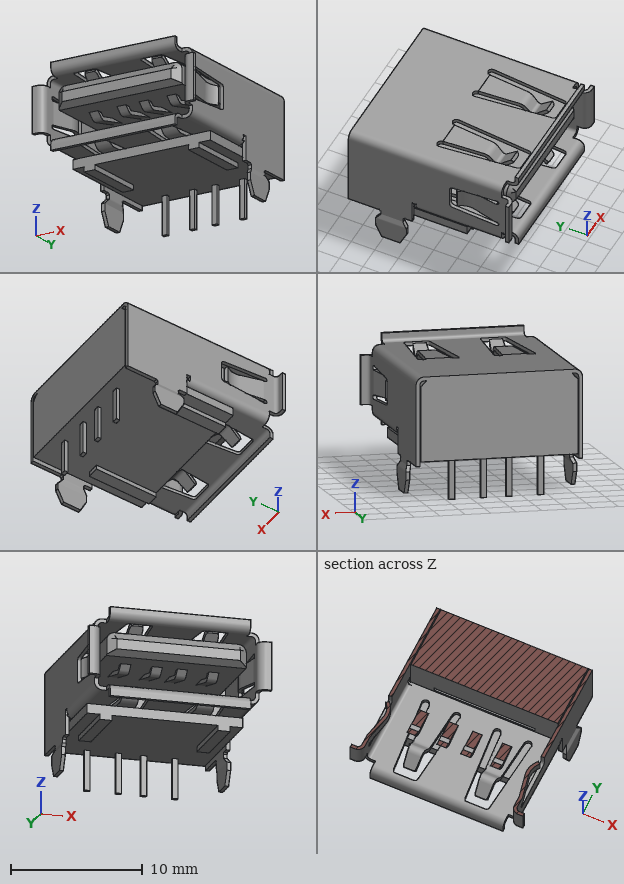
import cadquery as cq
import math


sheet = 0.3
half_width = 6.54
shell_bottom = 1.25
shell_top = 6.93
shell_height = shell_top - shell_bottom
mid_height = (shell_top + shell_bottom) / 2
depth = 14.0
inner_bend = 0.3
outer_bend = inner_bend + sheet
inner_half_width = half_width - sheet
floor_top = shell_bottom + sheet
ceiling = shell_top - sheet

mouth_edge = 0.99
lip_tip = 0.4
lip_half_width = 5.58
side_lip_half_height = 1.91

rear_start = 8.58
floor_end = 8.48
relief_start = 8.24
relief_top = 1.96

spring_offset = 3.0
window_front = 0.68
window_back = 7.24
window_half_front = 1.0
window_half_back = 1.61
window_corner = 0.26
slot_radius = 0.3
spring_tip = 1.48
spring_half_tip = 0.51
spring_half_root = 1.0
spring_corner = 0.22
spring_dip_start = 3.65
spring_dip_drop = 0.06
spring_low = 2.81
spring_low_drop = 0.91
spring_end = 1.58
spring_end_rise = 0.12
spring_bends = (0.17, 0.65, 0.44)

side_window_front = 1.39
side_window_back = 5.4
side_window_half_front = 1.3
side_window_half_back = 1.02
side_window_corner = 0.29
side_slot_radius = 0.16
side_spring_root = 1.48
side_spring_tip = 4.95
side_spring_half_root = 1.0
side_spring_half_tip = 0.75
side_spring_corner = 0.22
side_spring_crest = 4.15
side_spring_lean = 0.57
side_spring_end = 4.86
side_spring_end_lean = 0.03
side_spring_bends = (0.17, 1.6)

leg_centre = 10.3
leg_offset = 0.17
leg_neck_half = 0.94
leg_half = 1.32
leg_end_half = 0.78
leg_bends = (0.17, 0.17)
leg_neck_flare = 0.13
leg_kink_top = -0.44
leg_shoulder = -0.85
leg_taper_start = -1.5
leg_bottom = -2.6

housing_half_width = 6.18
housing_bottom = 0.35
housing_chamfer = 0.45
base_front = 4.09
base_top = 1.12
foot_inner = 4.2
foot_outer = 5.18
foot_bottom = -0.06
foot_back = 9.57
undercut_half_width = 4.23
undercut_top = 1.83

tongue_front = 0.55
tongue_half_width = 5.54
tongue_bottom = 4.1
tongue_top = 5.95
tongue_corner = 0.64
tongue_chamfer = 0.52
tongue_bottom_chamfer = 0.39
tongue_taper = 0.64

contact_positions = (-3.5, -1.0, 1.0, 3.5)
contact_width = 0.8
contact_low = 3.51
contact_tip = 2.75
contact_tip_height = 4.35
contact_bottom_y = 3.48
contact_root = 6.96
contact_root_height = 4.42
contact_bends = (0.44,)
pin_width = 0.45
pin_front = 12.83
pin_bottom = -2.84


def box(x0, x1, y0, y1, z0, z1):
    return cq.Workplane("XY").box(x1 - x0, y1 - y0, z1 - z0, centered=False).translate((x0, y0, z0))


def both_sides(left):
    return left.union(left.mirror("YZ"))


def sheet_side(path, bends, shift):
    """One face of a bent sheet: its start, the start, middle and end of each bend, and its end."""
    directions = []
    for (a0, b0), (a1, b1) in zip(path, path[1:]):
        directions.append(math.atan2(b1 - b0, a1 - a0))
    start = (path[0][0] - shift * math.sin(directions[0]), path[0][1] + shift * math.cos(directions[0]))
    end = (path[-1][0] - shift * math.sin(directions[-1]), path[-1][1] + shift * math.cos(directions[-1]))
    corners = []
    for (a, b), before, after, bend in zip(path[1:-1], directions, directions[1:], bends):
        turn = math.remainder(after - before, math.tau)
        side = math.copysign(1, turn)
        reach = bend * math.tan(abs(turn) / 2)
        centre_a = a - reach * math.cos(before) - side * bend * math.sin(before)
        centre_b = b - reach * math.sin(before) + side * bend * math.cos(before)
        radius = side * bend - shift
        arc = []
        for angle in (before, before + turn / 2, before + turn):
            arc.append((centre_a + radius * math.sin(angle), centre_b - radius * math.cos(angle)))
        corners.append(arc)
    return start, corners, end


def bent_sheet(plane, path, bends, half_length):
    """Sheet following a centre line with rounded corners, extruded both ways from the plane."""
    start, corners, end = sheet_side(path, bends, sheet / 2)
    back_start, back_corners, back_end = sheet_side(path, bends, -sheet / 2)
    profile = cq.Workplane(plane).moveTo(*start)
    for first, middle, last in corners:
        profile = profile.lineTo(*first).threePointArc(middle, last)
    profile = profile.lineTo(*end).lineTo(*back_end)
    for first, middle, last in reversed(back_corners):
        profile = profile.lineTo(*last).threePointArc(middle, first)
    return profile.lineTo(*back_start).close().extrude(half_length, both=True)


def trapezoid(plane, position0, half0, position1, half1, length):
    """Prism whose half width changes along the first axis of the plane."""
    corners = [(position0, -half0), (position1, -half1), (position1, half1), (position0, half0)]
    return cq.Workplane(plane).polyline(corners).close().extrude(length, both=True)


def flipped(solid):
    """Mirror copy about the middle height of the shell."""
    return solid.mirror("XY", (0, 0, mid_height))


def shell_body():
    def section(half, bottom, top, radius, corners, start, end):
        block = box(-half, half, start, end, bottom, top)
        return block.edges(corners).fillet(radius)

    outer = section(half_width, shell_bottom, shell_top, outer_bend, "|Y", mouth_edge, rear_start)
    inner = section(inner_half_width, floor_top, ceiling, inner_bend, "|Y", mouth_edge, rear_start)
    front = outer.cut(inner)
    front = front.cut(box(-half_width, half_width, relief_start, rear_start, floor_top, relief_top))
    front = front.cut(box(-half_width, half_width, floor_end, rear_start, shell_bottom, relief_top))
    rear_outer = section(half_width, 0, shell_top, outer_bend, "|Y and >Z", rear_start, depth)
    rear_inner = section(inner_half_width, 0, ceiling, inner_bend, "|Y and >Z", rear_start, depth)
    return front.union(rear_outer.cut(rear_inner))


def lips():
    bends = (inner_bend + sheet / 2,)
    tip_y = sheet / 2
    reach = sheet / 2 + inner_bend + lip_tip
    wall_z = shell_top - sheet / 2
    top_path = [(mouth_edge, wall_z), (tip_y, wall_z), (tip_y, wall_z + reach)]
    top_lip = bent_sheet("YZ", top_path, bends, lip_half_width)
    wall_x = -half_width + sheet / 2
    side_path = [(wall_x, mouth_edge), (wall_x, tip_y), (wall_x - reach, tip_y)]
    side_lip = bent_sheet("XY", side_path, bends, side_lip_half_height).translate((0, 0, mid_height))
    return top_lip.union(flipped(top_lip)).union(both_sides(side_lip))


def spring_window(plane, free_end, free_half, root, root_half, slot, free_corners, corner):
    """Opening around a spring, with rounded slot ends beside the spring root."""
    window = trapezoid(plane, free_end, free_half, root, root_half, sheet)
    window = window.edges(free_corners).fillet(corner)
    slot_ends = [(root, root_half - slot), (root, slot - root_half)]
    return window.union(cq.Workplane(plane).pushPoints(slot_ends).circle(slot).extrude(sheet, both=True))


def ceiling_window():
    window = spring_window(
        "YX",
        window_front,
        window_half_front,
        window_back,
        window_half_back,
        slot_radius,
        "|Z and <Y",
        window_corner,
    )
    return window.translate((0, 0, shell_top - sheet / 2))


def ceiling_spring():
    """Spring that dips into the socket and rises again at its tip."""
    wall_z = shell_top - sheet / 2
    root = window_back + sheet
    path = [
        (root, wall_z),
        (window_back, wall_z),
        (spring_dip_start, wall_z - spring_dip_drop),
        (spring_low, wall_z - spring_low_drop),
        (spring_end, wall_z + spring_end_rise),
    ]
    strip = bent_sheet("YZ", path, spring_bends, spring_half_root)
    outline = trapezoid("YX", spring_tip, spring_half_tip, root, spring_half_root, depth)
    return strip.intersect(outline.edges("|Z and <Y").fillet(spring_corner))


def side_window():
    window = spring_window(
        "YZ",
        side_window_back,
        side_window_half_back,
        side_window_front,
        side_window_half_front,
        side_slot_radius,
        "|X and >Y",
        side_window_corner,
    )
    return window.translate((sheet / 2 - half_width, 0, mid_height))


def side_spring():
    """Spring that leans inwards from the mouth and returns outwards at its tip."""
    wall_x = sheet / 2 - half_width
    path = [
        (wall_x, mouth_edge),
        (wall_x, side_spring_root),
        (wall_x + side_spring_lean, side_spring_crest),
        (wall_x + side_spring_end_lean, side_spring_end),
    ]
    strip = bent_sheet("XY", path, side_spring_bends, side_spring_half_root)
    outline = trapezoid(
        "YZ", mouth_edge, side_spring_half_root, side_spring_tip, side_spring_half_tip, depth
    )
    outline = outline.edges("|X and >Y").fillet(side_spring_corner)
    return strip.intersect(outline).translate((0, 0, mid_height))


def leg():
    """Board lock leg below a rear side wall, kinked outwards."""
    wall_x = sheet / 2 - half_width
    path = [
        (wall_x, sheet),
        (wall_x, leg_kink_top),
        (wall_x - leg_offset, leg_shoulder),
        (wall_x - leg_offset, leg_bottom),
    ]
    strip = bent_sheet("XZ", path, leg_bends, leg_half).translate((0, leg_centre, 0))
    half_outline = [
        (leg_neck_half + leg_neck_flare, sheet),
        (leg_neck_half + leg_neck_flare, 0),
        (leg_neck_half, -leg_neck_flare),
        (leg_neck_half, leg_kink_top),
        (leg_half, leg_shoulder),
        (leg_half, leg_taper_start),
        (leg_end_half, leg_bottom),
    ]
    outline = half_outline + [(-y, z) for y, z in reversed(half_outline)]
    silhouette = cq.Workplane("YZ").polyline(outline).close().extrude(depth, both=True)
    return strip.intersect(silhouette.translate((0, leg_centre, 0)))


def housing():
    block = box(-housing_half_width, housing_half_width, rear_start, depth, housing_bottom, ceiling)
    block = block.edges("|Y and >Z").chamfer(housing_chamfer)
    undercut = [
        (rear_start, undercut_top),
        (rear_start, floor_top),
        (rear_start + undercut_top - floor_top, floor_top),
    ]
    block = block.cut(cq.Workplane("YZ").polyline(undercut).close().extrude(undercut_half_width, both=True))
    base = box(-housing_half_width, housing_half_width, base_front, rear_start, housing_bottom, base_top)
    foot = box(-foot_outer, -foot_inner, base_front, foot_back, foot_bottom, housing_bottom)
    return block.union(base).union(both_sides(foot))


def tongue():
    body = box(-tongue_half_width, tongue_half_width, tongue_front, rear_start, tongue_bottom, tongue_top)
    body = body.edges("|Y and >Z").fillet(tongue_corner)
    body = body.faces("<Y").edges("not <Z").chamfer(tongue_taper, tongue_chamfer)
    return body.faces("<Y").edges("<Z").chamfer(tongue_taper, tongue_bottom_chamfer)


def contact():
    """Sprung contact under the tongue, with its lowest point at the bend."""
    path = [
        (contact_tip, contact_tip_height),
        (contact_bottom_y, contact_low + sheet / 2),
        (contact_root, contact_root_height),
    ]
    return bent_sheet("YZ", path, contact_bends, contact_width / 2)


shell = shell_body().union(lips())
for x in (-spring_offset, spring_offset):
    opening = ceiling_window().translate((x, 0, 0))
    shell = shell.cut(opening).cut(flipped(opening))
shell = shell.cut(both_sides(side_window()))
for x in (-spring_offset, spring_offset):
    spring = ceiling_spring().translate((x, 0, 0))
    shell = shell.union(spring).union(flipped(spring))
shell = shell.union(both_sides(side_spring())).union(both_sides(leg()))

result = housing().union(tongue())
pin = box(-pin_width / 2, pin_width / 2, pin_front, pin_front + sheet, pin_bottom, base_top)
for x in contact_positions:
    result = result.union(contact().translate((x, 0, 0))).union(pin.translate((x, 0, 0)))
result = result.union(shell)